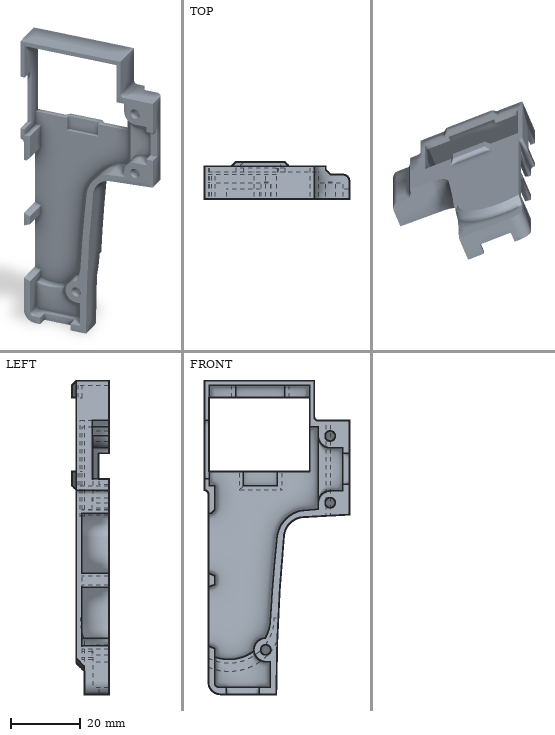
import cadquery as cq
import math


total_depth = 10.7
body_depth = 9.5
bump_height = total_depth - body_depth
shallow_depth = 7.1
cavity_floor = 7.85
shallow_floor = 4.75
port_depth = 3.0
side_window_depth = 4.9
screw_hole_depth = 5.0

total_width = 41.84
total_height = 90.49
frame_wall = 1.33
handle_wall = 1.9
frame_right = 31.67
frame_fillet = 1.1
tab_top = 78.98
tab_bottom = 51.82
handle_left = 1.12
shoulder_z = 58.87
foot_right = 20.75
foot_fillet = 3.6
foot_inner_fillet = 1.0
crook_top = (28.0, 51.05)
crook_middle = (24.5, 49.2)
crook_bottom = (22.95, 45.5)
grip_middle = (21.7, 29.5)

frame_inner_right = frame_right - frame_wall
frame_inner_top = total_height - frame_wall
frame_cavity_bottom = 60.23
rib_inner_x = handle_left + handle_wall
frame_right_wall_end = 77.13
main_cavity_right = 32.74
inner_crook_right = (main_cavity_right, 53.4)
inner_crook_top = (27.6, 52.95)
inner_crook_middle = (23.0, 50.1)
inner_crook_bottom = (20.95, 45.5)
inner_grip_middle = (19.8, 33.0)
round_end_center = (7.05, 22.1)
round_end_radius = 12.0
foot_cavity_right = 18.92
foot_cavity_bottom = 2.14
tab_cavity_right = 39.83

opening_bottom = 64.32
opening_top = 85.58
upper_bump_x = (9.0, 23.15)
lower_bump_x = (11.2, 21.05)
bump_floor = cavity_floor + bump_height

side_window_z = (62.15, tab_top)
tab_port_z = (60.54, 69.5)
foot_port_x = (6.27, 15.8)
upper_slot_z = (35.0, 52.2)
lower_slot_z = (14.0, 30.95)
rib_end_slant = 0.75
upper_rib_chamfer = 1.05

boss_radius = 3.4
screw_hole_diameter = 2.93
tab_boss_x = 36.22
upper_boss = (tab_boss_x, 74.5)
lower_boss = (tab_boss_x, 55.27)
foot_boss = (17.66, 12.87)

tab_step_x = 35.03
tab_slope = 1.3
tab_back_fillet = 2.0
foot_back_wall = 1.0
foot_back_radius = round_end_radius + foot_back_wall

margin = 1.0


def front_sketch(y):
    """Workplane parallel to the parting face, drawn in X and Z."""
    return cq.Workplane("XZ", origin=(0, y, 0))


def deepen(sketch, depth):
    """Extrude a closed sketch towards +Y."""
    return sketch.extrude(-depth)


def block(x_range, y_range, z_range):
    size = [end - start for start, end in (x_range, y_range, z_range)]
    start = (x_range[0], y_range[0], z_range[0])
    return cq.Workplane("XY").box(*size, centered=False).translate(start)


def cylinder(center, radius, depth):
    return deepen(front_sketch(0).center(*center).circle(radius), depth)


def arc_middle(start, end, center, radius):
    """Point halfway along the short arc from start to end."""
    x = (start[0] + end[0]) / 2 - center[0]
    z = (start[1] + end[1]) / 2 - center[1]
    length = math.hypot(x, z)
    return center[0] + x / length * radius, center[1] + z / length * radius


def make_body():
    fillet_end = (handle_left, shoulder_z - handle_left)
    fillet_middle = arc_middle((0, shoulder_z), fillet_end, (0, fillet_end[1]), handle_left)
    outline = (
        front_sketch(0)
        .moveTo(0, total_height)
        .lineTo(frame_right, total_height)
        .lineTo(frame_right, tab_top)
        .lineTo(total_width, tab_top)
        .lineTo(total_width, tab_bottom)
        .lineTo(*crook_top)
        .threePointArc(crook_middle, crook_bottom)
        .threePointArc(grip_middle, (foot_right, 0))
        .lineTo(handle_left, 0)
        .lineTo(*fillet_end)
        .threePointArc(fillet_middle, (0, shoulder_z))
        .close()
    )
    body = deepen(outline, body_depth)
    body = body.edges(cq.NearestToPointSelector((handle_left, body_depth / 2, 0))).fillet(foot_fillet)
    frame_corner = (frame_right, body_depth / 2, tab_top)
    return body.edges(cq.NearestToPointSelector(frame_corner)).fillet(frame_fillet)


def tab_back_cutter():
    """Material removed behind the screw tab: a step, a slope and a rounded outer edge."""
    slope_end = (tab_step_x + tab_slope, shallow_depth)
    round_start = (total_width - tab_back_fillet, shallow_depth)
    round_end = (total_width, shallow_depth - tab_back_fillet)
    round_center = (round_start[0], round_end[1])
    profile = (
        cq.Workplane("XY", origin=(0, 0, tab_bottom - margin))
        .moveTo(tab_step_x, body_depth + margin)
        .lineTo(tab_step_x, shallow_depth + tab_slope)
        .lineTo(*slope_end)
        .lineTo(*round_start)
        .threePointArc(arc_middle(round_start, round_end, round_center, tab_back_fillet), round_end)
        .lineTo(total_width + margin, round_end[1])
        .lineTo(total_width + margin, body_depth + margin)
        .close()
    )
    return profile.extrude(tab_top - tab_bottom + 2 * margin)


def foot_back_cutter():
    """Material removed behind the foot, up to a 45 degree slope around the round cavity end."""
    step = body_depth - shallow_depth
    cut = block(
        (-margin, total_width),
        (shallow_depth, body_depth),
        (-margin, round_end_center[1]),
    )
    cone = cq.Solid.makeCone(
        foot_back_radius + step,
        foot_back_radius,
        step,
        cq.Vector(round_end_center[0], shallow_depth, round_end_center[1]),
        cq.Vector(0, 1, 0),
    )
    return cut.cut(cq.Workplane(obj=cone))


def bump(x_range, z_range):
    """Raised pad on the back with 45 degree sides; the given ranges are its outer face."""
    width = x_range[1] - x_range[0] + 2 * bump_height
    height = z_range[1] - z_range[0] + 2 * bump_height
    center = (sum(x_range) / 2, sum(z_range) / 2)
    base = front_sketch(body_depth).center(*center).rect(width, height)
    return base.extrude(-bump_height, taper=45)


def main_cavity():
    center_x, center_z = round_end_center
    round_right = (center_x + round_end_radius, center_z)
    round_bottom = (center_x, center_z - round_end_radius)
    round_left_z = center_z - math.sqrt(round_end_radius**2 - (rib_inner_x - center_x) ** 2)
    round_left = (rib_inner_x, round_left_z)
    outline = (
        front_sketch(0)
        .moveTo(frame_wall, frame_inner_top)
        .lineTo(frame_inner_right, frame_inner_top)
        .lineTo(frame_inner_right, frame_right_wall_end)
        .lineTo(main_cavity_right, frame_right_wall_end)
        .lineTo(*inner_crook_right)
        .lineTo(*inner_crook_top)
        .threePointArc(inner_crook_middle, inner_crook_bottom)
        .threePointArc(inner_grip_middle, round_right)
        .threePointArc(round_bottom, round_left)
        .lineTo(rib_inner_x, frame_cavity_bottom)
        .lineTo(frame_wall, frame_cavity_bottom)
        .close()
    )
    return deepen(outline, cavity_floor).cut(cylinder(foot_boss, boss_radius, cavity_floor))


def tab_cavity():
    pocket = block(
        (main_cavity_right, tab_cavity_right),
        (0, shallow_floor),
        (lower_boss[1], upper_boss[1]),
    )
    for (x, z), side in ((upper_boss, -1), (lower_boss, 1)):
        pocket = pocket.cut(cylinder((x, z), boss_radius, shallow_floor))
        rim = sorted((z, z + side * boss_radius))
        pocket = pocket.cut(block((x, tab_cavity_right), (0, shallow_floor), rim))
    return pocket


def foot_cavity():
    boss_x, boss_z = foot_boss
    pocket = block(
        (rib_inner_x, foot_cavity_right),
        (0, shallow_floor),
        (foot_cavity_bottom, boss_z),
    )
    corner = cq.NearestToPointSelector((rib_inner_x, shallow_floor / 2, foot_cavity_bottom))
    pocket = pocket.edges(corner).fillet(foot_inner_fillet)
    web = block((boss_x, foot_cavity_right), (0, shallow_floor), (boss_z - boss_radius, boss_z))
    return pocket.cut(cylinder(foot_boss, boss_radius, shallow_floor)).cut(web)


def side_slot(z_range, upper_flat, upper_rise):
    """Opening in the left handle wall; it widens inwards between slanted rib ends."""
    bottom, top = z_range
    outline = (
        front_sketch(0)
        .moveTo(0, bottom)
        .lineTo(handle_left, bottom)
        .lineTo(rib_inner_x, bottom - rib_end_slant)
        .lineTo(rib_inner_x, top + upper_rise)
        .lineTo(handle_left + upper_flat, top)
        .lineTo(0, top)
        .close()
    )
    return deepen(outline, cavity_floor)


upper_bump_z = (opening_top, frame_inner_top)
lower_bump_z = (frame_cavity_bottom, opening_bottom)
bumps = ((upper_bump_x, upper_bump_z), (lower_bump_x, lower_bump_z))

result = make_body().cut(tab_back_cutter()).cut(foot_back_cutter())
for bump_x, bump_z in bumps:
    result = result.union(bump(bump_x, bump_z))

result = result.cut(main_cavity()).cut(tab_cavity()).cut(foot_cavity())
for bump_x, bump_z in bumps:
    result = result.cut(block(bump_x, (0, bump_floor), bump_z))
result = result.cut(
    block((frame_wall, frame_inner_right), (0, total_depth), (opening_bottom, opening_top))
)

result = result.cut(block((0, frame_wall), (0, side_window_depth), side_window_z))
result = result.cut(block((tab_cavity_right, total_width), (0, port_depth), tab_port_z))
result = result.cut(block(foot_port_x, (0, port_depth), (0, foot_cavity_bottom)))
result = result.cut(side_slot(upper_slot_z, handle_wall - upper_rib_chamfer, upper_rib_chamfer))
result = result.cut(side_slot(lower_slot_z, 0, rib_end_slant))

for boss in (upper_boss, lower_boss, foot_boss):
    result = result.cut(cylinder(boss, screw_hole_diameter / 2, screw_hole_depth))